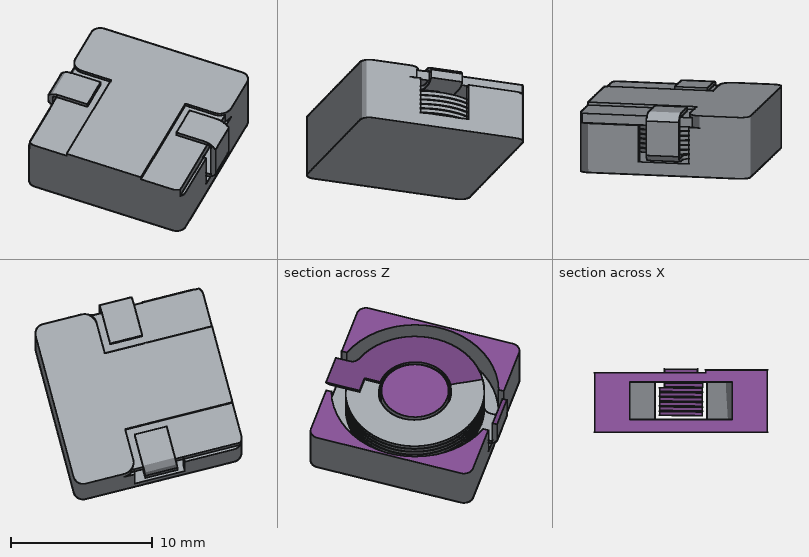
import cadquery as cq
import math

HOUSING_X = 12.0
HOUSING_Y = 12.21
HOUSING_Z = 4.41
HOUSING_CORNER_RADIUS = 0.7

LEDGE_Z = 4.21
LEDGE_INNER_X = 2.86
SHOULDER_Y = 1.71
SHOULDER_RADIUS = 0.89
SIDE_CUT_DEPTH = 0.2
SIDE_CUT_Z = 3.54

CHAMBER_RADIUS = 5.88
CHAMBER_FLOOR_Z = 0.93
CHAMBER_CEILING_Z = SIDE_CUT_Z
WINDOW_WIDTH = 3.63
POST_RADIUS = 2.38

WIRE_WIDTH = 2.34
WIRE_THICKNESS = 0.28
COIL_OUTER_RADIUS = 4.89
COIL_PITCH = 0.33
COIL_TURNS = 6.5
COIL_TOP_Z = 3.47

COIL_HEIGHT = COIL_PITCH * COIL_TURNS
WIRE_RADIUS = COIL_OUTER_RADIUS - WIRE_WIDTH / 2
UPPER_END_BOTTOM_Z = COIL_TOP_Z - WIRE_THICKNESS
LOWER_END_BOTTOM_Z = UPPER_END_BOTTOM_Z - COIL_HEIGHT

TERMINAL_OUTER_X = 6.44
TERMINAL_UPRIGHT = 0.36
TERMINAL_TOP_Z = 4.48
TERMINAL_TIP_X = 3.42
TERMINAL_ROOT_X = WIRE_RADIUS
FOOT_BEND_LENGTH = 0.72
SHORT_FOOT_BEND_RISE = 0.31
SHORT_TOP_BEND_LENGTH = 0.72
SHORT_TOP_BEND_DROP = 0.36
LONG_FOOT_BEND_RISE = 0.49
LONG_TOP_BEND_LENGTH = 0.94
LONG_TOP_BEND_DROP = 0.5
INNER_BEND_LENGTH = 0.22
INNER_BEND_DROP = 0.17
ROOT_FILLET_RADIUS = 0.57

FUSE_TOLERANCE = 0.001


def box_between(x0, x1, y0, y1, z0, z1):
    return cq.Workplane("XY").box(x1 - x0, y1 - y0, z1 - z0, centered=False).translate((x0, y0, z0))


def side_step(inner_x, floor_z):
    """Material removed above floor_z, outside inner_x on the +X side, short of the rounded shoulder."""
    half_x = HOUSING_X / 2
    height = HOUSING_Z - floor_z
    corner_mid = SHOULDER_RADIUS * (1 - math.sqrt(0.5))
    removed = (
        cq.Workplane("XY", origin=(0, 0, floor_z))
        .moveTo(LEDGE_INNER_X, -HOUSING_Y / 2)
        .lineTo(half_x, -HOUSING_Y / 2)
        .lineTo(half_x, SHOULDER_Y + SHOULDER_RADIUS)
        .threePointArc(
            (half_x - corner_mid, SHOULDER_Y + corner_mid),
            (half_x - SHOULDER_RADIUS, SHOULDER_Y),
        )
        .lineTo(LEDGE_INNER_X, SHOULDER_Y)
        .close()
        .extrude(height)
    )
    outside = box_between(inner_x, half_x, -HOUSING_Y / 2, HOUSING_Y / 2, floor_z, HOUSING_Z)
    return removed.intersect(outside)


def make_housing():
    housing = (
        cq.Workplane("XY")
        .rect(HOUSING_X, HOUSING_Y)
        .extrude(HOUSING_Z)
        .edges("|Z")
        .fillet(HOUSING_CORNER_RADIUS)
    )
    ledge = side_step(LEDGE_INNER_X, LEDGE_Z)
    side_cut = side_step(HOUSING_X / 2 - SIDE_CUT_DEPTH, SIDE_CUT_Z)
    for step in (ledge, side_cut):
        housing = housing.cut(step).cut(step.mirror("YZ"))

    chamber_height = CHAMBER_CEILING_Z - CHAMBER_FLOOR_Z
    floor = cq.Workplane("XY", origin=(0, 0, CHAMBER_FLOOR_Z))
    chamber = floor.circle(CHAMBER_RADIUS).extrude(chamber_height)
    windows = floor.rect(HOUSING_X, WINDOW_WIDTH).extrude(chamber_height)
    post = floor.circle(POST_RADIUS).extrude(chamber_height)
    return housing.cut(chamber.union(windows).cut(post))


def make_winding():
    """Helix of flat wire, rising counterclockwise from the +X side to the -X side."""
    path = cq.Wire.makeHelix(COIL_PITCH, COIL_HEIGHT, WIRE_RADIUS)
    winding = (
        cq.Workplane("XZ")
        .center(WIRE_RADIUS, 0)
        .rect(WIRE_WIDTH, WIRE_THICKNESS)
        .sweep(cq.Workplane(path), isFrenet=True)
    )
    return winding.translate((0, 0, LOWER_END_BOTTOM_Z + WIRE_THICKNESS / 2))


def make_terminal(wire_bottom_z, foot_bend_rise, top_bend_length, top_bend_drop):
    """Terminal on the +X side: out from the coil, up the side and back over the ledge."""
    inner_x = TERMINAL_OUTER_X - TERMINAL_UPRIGHT
    top_bend_x = TERMINAL_OUTER_X - top_bend_length
    wire_top_z = wire_bottom_z + WIRE_THICKNESS
    top_bend_radius = (top_bend_length**2 + top_bend_drop**2) / (2 * top_bend_drop)
    half_angle = math.asin(top_bend_length / top_bend_radius) / 2
    top_bend_mid = (
        top_bend_x + top_bend_radius * math.sin(half_angle),
        TERMINAL_TOP_Z - top_bend_radius * (1 - math.cos(half_angle)),
    )
    strip = (
        cq.Workplane("XZ")
        .moveTo(TERMINAL_ROOT_X, wire_bottom_z)
        .lineTo(TERMINAL_OUTER_X - FOOT_BEND_LENGTH, wire_bottom_z)
        .tangentArcPoint((TERMINAL_OUTER_X, wire_bottom_z + foot_bend_rise), relative=False)
        .lineTo(TERMINAL_OUTER_X, TERMINAL_TOP_Z - top_bend_drop)
        .threePointArc(top_bend_mid, (top_bend_x, TERMINAL_TOP_Z))
        .lineTo(TERMINAL_TIP_X, TERMINAL_TOP_Z)
        .lineTo(TERMINAL_TIP_X, LEDGE_Z)
        .lineTo(inner_x - INNER_BEND_LENGTH, LEDGE_Z)
        .tangentArcPoint((inner_x, LEDGE_Z - INNER_BEND_DROP), relative=False)
        .lineTo(inner_x, wire_top_z)
        .lineTo(TERMINAL_ROOT_X, wire_top_z)
        .close()
        .extrude(WIRE_WIDTH / 2, both=True)
    )
    return strip.union(make_root_fillet(wire_bottom_z))


def make_root_fillet(wire_bottom_z):
    """Rounded web between the +Y flank of the terminal and the outside of the coil."""
    flank_y = WIRE_WIDTH / 2
    centre_y = flank_y + ROOT_FILLET_RADIUS
    centre_distance = COIL_OUTER_RADIUS + ROOT_FILLET_RADIUS
    centre_x = math.sqrt(centre_distance**2 - centre_y**2)
    to_coil = COIL_OUTER_RADIUS / centre_distance
    web = (
        cq.Workplane("XY", origin=(0, 0, wire_bottom_z))
        .moveTo(TERMINAL_ROOT_X, flank_y)
        .lineTo(centre_x, flank_y)
        .lineTo(centre_x, centre_y)
        .lineTo(centre_x * to_coil, centre_y * to_coil)
        .close()
        .extrude(WIRE_THICKNESS)
    )
    rounding = (
        cq.Workplane("XY", origin=(centre_x, centre_y, wire_bottom_z))
        .circle(ROOT_FILLET_RADIUS)
        .extrude(WIRE_THICKNESS)
    )
    return web.cut(rounding)


def make_coil():
    short_terminal = make_terminal(
        UPPER_END_BOTTOM_Z, SHORT_FOOT_BEND_RISE, SHORT_TOP_BEND_LENGTH, SHORT_TOP_BEND_DROP
    ).mirror("YZ")
    long_terminal = make_terminal(
        LOWER_END_BOTTOM_Z, LONG_FOOT_BEND_RISE, LONG_TOP_BEND_LENGTH, LONG_TOP_BEND_DROP
    )
    coil = make_winding()
    for terminal in (short_terminal, long_terminal):
        coil = coil.union(terminal, tol=FUSE_TOLERANCE)
    return coil


housing = make_housing()
coil = make_coil()
result = cq.Compound.makeCompound([housing.val(), coil.solids().val()])